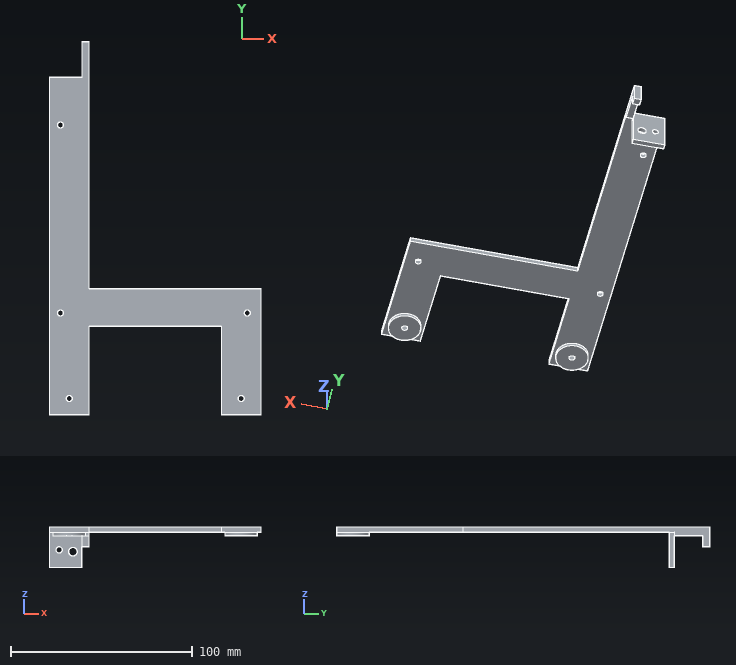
import cadquery as cq

overall_width = 116.89
overall_length = 206.0
overall_height = 22.5

plate_thickness = 3.0
leg_width = 22.0
crossbar_front = 48.8
crossbar_width = 20.9

finger_length = 19.5
finger_width = 4.0
finger_depth = 5.0
hook_thickness = 4.0
hook_depth = 11.0

rail_length = overall_length - finger_length
tab_width = leg_width - finger_width
tab_thickness = 3.0
tab_small_hole_diameter = 3.3
tab_small_hole_center = (5.4, -12.7)
tab_large_hole_diameter = 4.6
tab_large_hole_center = (13.0, -13.7)

pad_diameter = 18.0
pad_height = 2.0
pad_center_y = pad_diameter / 2
left_pad_x = leg_width / 2
right_pad_x = overall_width - leg_width / 2

screw_hole_diameter = 3.2
left_hole_inset = 6.1
right_hole_inset = 7.6
crossbar_hole_y = 56.2
rear_hole_y = 160.0

pad_centers = [(left_pad_x, pad_center_y), (right_pad_x, pad_center_y)]
rail_hole_centers = [
    (left_hole_inset, crossbar_hole_y),
    (left_hole_inset, rear_hole_y),
]
right_leg_hole_center = (overall_width - right_hole_inset, crossbar_hole_y)


def box_from_corner(x, y, width, length, depth):
    """Block with its front left top corner at (x, y, 0), extending downward."""
    return (
        cq.Workplane("XY")
        .box(width, length, depth, centered=False)
        .translate((x, y, -depth))
    )


def make_plate():
    crossbar_rear = crossbar_front + crossbar_width
    rail = box_from_corner(0, 0, leg_width, rail_length, plate_thickness)
    crossbar = box_from_corner(0, crossbar_front, overall_width, crossbar_width, plate_thickness)
    right_leg = box_from_corner(overall_width - leg_width, 0, leg_width, crossbar_rear, plate_thickness)
    return rail.union(crossbar).union(right_leg)


def make_finger():
    bar = box_from_corner(tab_width, rail_length, finger_width, finger_length, finger_depth)
    hook = box_from_corner(
        tab_width, overall_length - hook_thickness, finger_width, hook_thickness, hook_depth
    )
    return bar.union(hook)


def make_tab():
    tab_front = rail_length - tab_thickness
    return box_from_corner(0, tab_front, tab_width, tab_thickness, overall_height)


def make_tab_hole(center, diameter):
    return (
        cq.Workplane("XZ", origin=(0, rail_length, 0))
        .center(*center)
        .circle(diameter / 2)
        .extrude(tab_thickness)
    )


def make_pads():
    return (
        cq.Workplane("XY", origin=(0, 0, -plate_thickness))
        .pushPoints(pad_centers)
        .circle(pad_diameter / 2)
        .extrude(-pad_height)
    )


def make_screw_holes():
    return (
        cq.Workplane("XY")
        .pushPoints(pad_centers + rail_hole_centers + [right_leg_hole_center])
        .circle(screw_hole_diameter / 2)
        .extrude(-(plate_thickness + pad_height))
    )


body = make_plate().union(make_finger()).union(make_tab()).union(make_pads())
body = body.cut(make_tab_hole(tab_small_hole_center, tab_small_hole_diameter))
body = body.cut(make_tab_hole(tab_large_hole_center, tab_large_hole_diameter))
result = body.cut(make_screw_holes())